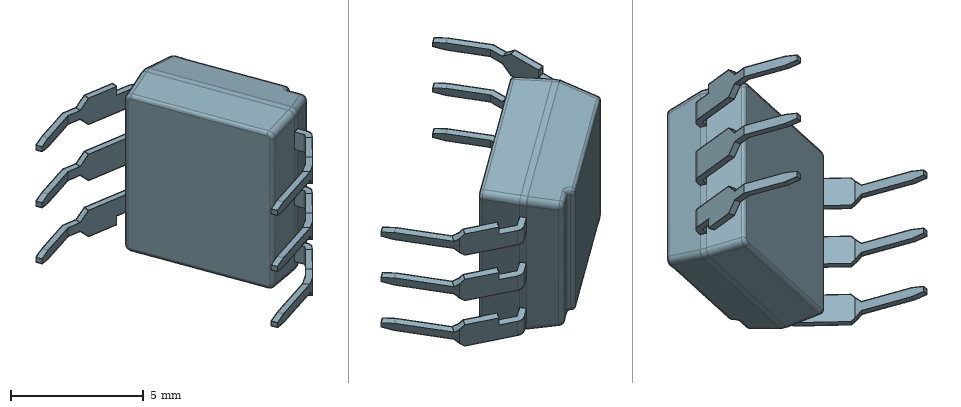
import cadquery as cq
import math

BODY_WIDTH = 6.49
BODY_HEIGHT = 7.3
BODY_BACK = 1.77
BODY_FRONT = -1.73
BACK_INSET = 0.31
FRONT_INSET = 0.11
CORNER_RADIUS = 0.26
RIM_RADIUS = 0.15

STEP_WALL_X = 2.17
STEP_DEPTH = 0.26
STEP_RIM_RADIUS = 0.22
STEP_ROOT_RADIUS = 0.1

LEAD_THICKNESS = 0.26
LEAD_PITCH = 2.54
SPAN = 10.17
OVERALL_DEPTH = 6.9
RIGHT_REACH = 4.97
LEFT_REACH = SPAN - RIGHT_REACH
RIGHT_KNEE_Y = -2.11
LEFT_KNEE_Y = -2.84
LEAD_SLOPE = math.radians(26.5)
LEAD_TIP_Y = BODY_BACK - OVERALL_DEPTH
BEND_INNER_RADIUS = 0.08
BEND_OUTER_RADIUS = BEND_INNER_RADIUS + LEAD_THICKNESS
EMBED_DEPTH = 0.41

STRIP_WIDTH = 0.4
PIN_HALF = STRIP_WIDTH / 2
BLADE_HALF = PIN_HALF + STRIP_WIDTH
NOTCH_END_Y = -0.71
SHOULDER_START_Y = -1.91
TIP_WIDTH = 0.22
TIP_LENGTH = 0.52

BAND_HALF = LEAD_THICKNESS / 2

UP, DOWN = 1, -1


def tapered_half(start_y, end_y, inset):
    """Body half that narrows by `inset` on every side from start_y to end_y."""
    return (
        cq.Workplane(cq.Plane((0, start_y, 0), (1, 0, 0), (0, 1, 0)))
        .rect(BODY_WIDTH, BODY_HEIGHT)
        .workplane(offset=end_y - start_y)
        .rect(BODY_WIDTH - 2 * inset, BODY_HEIGHT - 2 * inset)
        .loft(ruled=True)
    )


def make_body():
    body = cq.Workplane("XY").box(BODY_WIDTH, LEAD_THICKNESS, BODY_HEIGHT)
    body = body.union(tapered_half(BAND_HALF, BODY_BACK, BACK_INSET))
    body = body.union(tapered_half(-BAND_HALF, BODY_FRONT, FRONT_INSET))

    body = body.edges("not(|X or |Z)").fillet(CORNER_RADIUS)

    floor_y = BODY_BACK - STEP_DEPTH
    step = cq.Workplane("XY").box(BODY_WIDTH, BODY_WIDTH, 2 * BODY_HEIGHT, centered=(False, False, True))
    body = body.cut(step.translate((STEP_WALL_X, floor_y, 0)))

    root = cq.selectors.NearestToPointSelector((STEP_WALL_X, floor_y, 0))
    body = body.edges(root).fillet(STEP_ROOT_RADIUS)
    floor_end = cq.selectors.NearestToPointSelector((BODY_WIDTH / 2 - BACK_INSET, floor_y, 0))
    body = body.edges(floor_end).fillet(STEP_RIM_RADIUS)

    body = body.faces("<Y").edges().fillet(RIM_RADIUS)
    body = body.faces(">Y").edges().fillet(RIM_RADIUS)
    return body


def make_lead(reach, knee_y, notch_sides):
    """Lead on the +X side; notch_sides lists the blade sides (UP or DOWN) cut back near the body."""
    t = LEAD_THICKNESS
    bend_x = reach - (BAND_HALF - knee_y) * math.tan(LEAD_SLOPE)
    inner_bend_x = bend_x - t * math.tan((math.pi / 2 - LEAD_SLOPE) / 2)
    inner_knee_y = knee_y - t * math.tan(LEAD_SLOPE / 2)
    root_x = BODY_WIDTH / 2 - EMBED_DEPTH
    strip = (
        cq.Workplane("XY")
        .polyline([
            (root_x, BAND_HALF),
            (bend_x, BAND_HALF),
            (reach, knee_y),
            (reach, LEAD_TIP_Y),
            (reach - t, LEAD_TIP_Y),
            (reach - t, inner_knee_y),
            (inner_bend_x, -BAND_HALF),
            (root_x, -BAND_HALF),
        ])
        .close()
        .extrude(BLADE_HALF, both=True)
    )
    nearest = cq.selectors.NearestToPointSelector
    strip = strip.edges(nearest((bend_x, BAND_HALF, 0))).fillet(BEND_OUTER_RADIUS)
    strip = strip.edges(nearest((inner_bend_x, -BAND_HALF, 0))).fillet(BEND_INNER_RADIUS)

    def along_slope(y):
        return (knee_y - y) / math.cos(LEAD_SLOPE)

    notch_u = along_slope(NOTCH_END_Y)
    shoulder_u = along_slope(SHOULDER_START_Y)

    def side_outline(side):
        shoulder = [
            (shoulder_u, side * BLADE_HALF),
            (shoulder_u + STRIP_WIDTH, side * PIN_HALF),
            (SPAN, side * PIN_HALF),
        ]
        if side not in notch_sides:
            return [(-SPAN, side * BLADE_HALF)] + shoulder
        notch = [
            (-SPAN, side * PIN_HALF),
            (notch_u, side * PIN_HALF),
            (notch_u, side * BLADE_HALF),
        ]
        return notch + shoulder

    downhill = (math.sin(LEAD_SLOPE), -math.cos(LEAD_SLOPE), 0)
    square_to_blade = (-math.cos(LEAD_SLOPE), -math.sin(LEAD_SLOPE), 0)
    blank = (
        cq.Workplane(cq.Plane((reach, knee_y, 0), downhill, square_to_blade))
        .polyline(side_outline(UP) + side_outline(DOWN)[::-1])
        .close()
        .extrude(SPAN, both=True)
    )
    lead = strip.intersect(blank)

    for side in (UP, DOWN):
        wedge = (
            cq.Workplane("YZ")
            .polyline([
                (LEAD_TIP_Y + TIP_LENGTH, side * PIN_HALF),
                (LEAD_TIP_Y, side * TIP_WIDTH / 2),
                (LEAD_TIP_Y, side * PIN_HALF),
            ])
            .close()
            .extrude(SPAN)
        )
        lead = lead.cut(wedge)
    return lead


ROWS = [(-LEAD_PITCH, [DOWN]), (0, []), (LEAD_PITCH, [UP])]

result = make_body()
for row_z, left_notch in ROWS:
    right_lead = make_lead(RIGHT_REACH, RIGHT_KNEE_Y, [UP])
    left_lead = make_lead(LEFT_REACH, LEFT_KNEE_Y, left_notch).mirror("YZ")
    result = result.union(right_lead.translate((0, 0, row_z)))
    result = result.union(left_lead.translate((0, 0, row_z)))